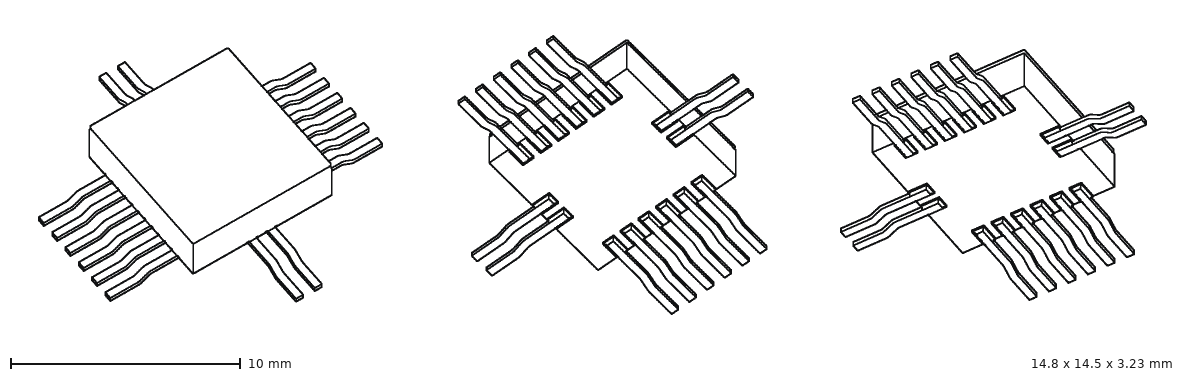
import cadquery as cq
import math

SPAN_X = 14.8
SPAN_Y = 14.5
HEIGHT = 3.23

BASE_X = 7.8
BASE_Y = 7.4
BASE_BOTTOM = 0.53
BASE_TOP = 2.63
BASE_FILLET = 0.15

PLATE_THICKNESS = 0.18
PANEL_TOP = 4.7
PANEL_FOOT = 6.13
PANEL_STRAIGHT = 4.23
PANEL_SLOPE = math.radians(49)

LEAD_WIDTH = 0.38
LEAD_THICKNESS = 0.22
LEAD_SHOULDER = 1.48
LEAD_SLOPE = math.radians(30)
BEND_RADIUS = 0.33
LEADS_PER_LONG_ROW = 6
LONG_ROW_SPAN = 5.0
LEAD_PITCH = LONG_ROW_SPAN / (LEADS_PER_LONG_ROW - 1)
LEADS_PER_SHORT_ROW = 2

PAD_WIDTH = 0.62
PAD_LENGTH = 0.95
PAD_THICKNESS = 0.09
PAD_INSET = 0.05
SOLDER_RADIUS = 0.09

PLATE_TOP = BASE_TOP + PLATE_THICKNESS
PANEL_HEIGHT = HEIGHT - PLATE_TOP
PAD_BOTTOM = BASE_BOTTOM - PAD_THICKNESS
PAD_OVERHANG = (PAD_WIDTH - LEAD_WIDTH) / 2


def box(size_x, size_y, z_bottom, z_top):
    """Block centred on the Z axis between two levels."""
    return cq.Workplane("XY").workplane(offset=z_bottom).rect(size_x, size_y).extrude(z_top - z_bottom)


def make_lead(reach):
    """Gull-wing lead with its pad, pointing along +X from a base side at X = 0."""
    foot_top = LEAD_THICKNESS
    shoulder_bottom = BASE_BOTTOM - LEAD_THICKNESS
    ramp_run = (BASE_BOTTOM - foot_top) / math.tan(LEAD_SLOPE)
    upper_bend = LEAD_SHOULDER
    lower_bend = upper_bend + ramp_run
    miter = LEAD_THICKNESS * math.tan(LEAD_SLOPE / 2)
    pad_end = -PAD_INSET - PAD_LENGTH
    inner_end = pad_end + PAD_OVERHANG

    strip = (
        cq.Workplane("XZ")
        .moveTo(inner_end, BASE_BOTTOM)
        .lineTo(upper_bend, BASE_BOTTOM)
        .lineTo(lower_bend, foot_top)
        .lineTo(reach, foot_top)
        .lineTo(reach, 0)
        .lineTo(lower_bend - miter, 0)
        .lineTo(upper_bend - miter, shoulder_bottom)
        .lineTo(inner_end, shoulder_bottom)
        .close()
        .extrude(LEAD_WIDTH / 2, both=True)
    )
    bend_zone = cq.selectors.BoxSelector(
        (upper_bend - 2 * miter, -LEAD_WIDTH, -LEAD_THICKNESS),
        (lower_bend + 2 * miter, LEAD_WIDTH, BASE_BOTTOM + LEAD_THICKNESS),
    )
    strip = strip.edges("|Y").edges(bend_zone).fillet(BEND_RADIUS)

    pad = box(PAD_LENGTH, PAD_WIDTH, PAD_BOTTOM, BASE_BOTTOM)
    pad = pad.translate((pad_end + PAD_LENGTH / 2, 0, 0))

    solder_zone = cq.selectors.BoxSelector(
        (inner_end - PAD_OVERHANG / 2, -LEAD_WIDTH / 2 - PAD_OVERHANG / 2, PAD_BOTTOM - PAD_THICKNESS / 2),
        (-PAD_INSET - PAD_OVERHANG, LEAD_WIDTH / 2 + PAD_OVERHANG / 2, PAD_BOTTOM + PAD_THICKNESS / 2),
    )
    return strip.union(pad).edges("not |Z").edges(solder_zone).fillet(SOLDER_RADIUS)


def lead_row(count, base_size, span, angle):
    """Leads of one base side, turned about Z from +X to that side."""
    lead = make_lead((span - base_size) / 2)
    row = []
    for index in range(count):
        offset = (index - (count - 1) / 2) * LEAD_PITCH
        placed = lead.translate((base_size / 2, offset, 0))
        row.append(placed.rotate((0, 0, 0), (0, 0, 1), angle))
    return row


def make_base():
    """Block with rounded top edges and the leads joined to its underside."""
    block = box(BASE_X, BASE_Y, BASE_BOTTOM, BASE_TOP).faces(">Z").edges().fillet(BASE_FILLET)
    leads = []
    for angle in (0, 180):
        leads += lead_row(LEADS_PER_SHORT_ROW, BASE_X, SPAN_X, angle)
    for angle in (90, 270):
        leads += lead_row(LEADS_PER_LONG_ROW, BASE_Y, SPAN_Y, angle)
    joined = block.val().fuse(*[lead.val() for lead in leads]).clean()
    return cq.Workplane(joined).solids()


def panel_section(plane, foot):
    """Half section of the panel on an upright plane, from its axis out to the foot of the flank."""
    sine = math.sin(PANEL_SLOPE)
    cosine = math.cos(PANEL_SLOPE)
    width = (PANEL_FOOT - PANEL_TOP) / 2
    radius = (width * sine - PANEL_HEIGHT * cosine) / (2 * (1 - cosine))
    arc_run = radius * sine
    arc_rise = radius * (1 - cosine)
    half_run = radius * math.sin(PANEL_SLOPE / 2)
    half_rise = radius * (1 - math.cos(PANEL_SLOPE / 2))
    top = foot - width
    return (
        cq.Workplane(plane)
        .moveTo(0, BASE_TOP)
        .lineTo(foot, BASE_TOP)
        .lineTo(foot, PLATE_TOP)
        .threePointArc((foot - half_run, PLATE_TOP + half_rise), (foot - arc_run, PLATE_TOP + arc_rise))
        .lineTo(top + arc_run, HEIGHT - arc_rise)
        .threePointArc((top + half_run, HEIGHT - half_rise), (top, HEIGHT))
        .lineTo(0, HEIGHT)
        .close()
    )


def make_plate():
    """Plate whose rim is a half round, with a ball at each corner."""
    rim_radius = PLATE_THICKNESS / 2
    core_x = BASE_X - PLATE_THICKNESS
    core_y = BASE_Y - PLATE_THICKNESS
    mid_origin = (0, 0, BASE_TOP + rim_radius)
    rim_along_y = cq.Workplane("XZ", origin=mid_origin).circle(rim_radius).extrude(core_y / 2, both=True)
    rim_along_x = cq.Workplane("YZ", origin=mid_origin).circle(rim_radius).extrude(core_x / 2, both=True)
    plate = box(core_x, core_y, BASE_TOP, PLATE_TOP)
    for side in (-1, 1):
        plate = plate.union(rim_along_y.translate((side * core_x / 2, 0, 0)))
        plate = plate.union(rim_along_x.translate((0, side * core_y / 2, 0)))
    corners = cq.Workplane("XY", origin=mid_origin).rect(core_x, core_y, forConstruction=True).vertices()
    return plate.union(corners.sphere(rim_radius))


def make_lid():
    """Plate with the raised panel: four straight sides and four turned corners."""
    lid = make_plate()
    side = panel_section("XZ", PANEL_FOOT / 2).extrude(PANEL_STRAIGHT / 2, both=True)
    corner_offset = PANEL_STRAIGHT / 2
    corner = panel_section("XZ", PANEL_FOOT / 2 - corner_offset).revolve(360, (0, 0), (0, 1))
    for quarter in range(4):
        angle = 90 * quarter
        lid = lid.union(side.rotate((0, 0, 0), (0, 0, 1), angle))
        placed_corner = corner.translate((corner_offset, corner_offset, 0))
        lid = lid.union(placed_corner.rotate((0, 0, 0), (0, 0, 1), angle))
    return lid.solids()


base = make_base()
lid = make_lid()

result = cq.Compound.makeCompound([base.val(), lid.val()])